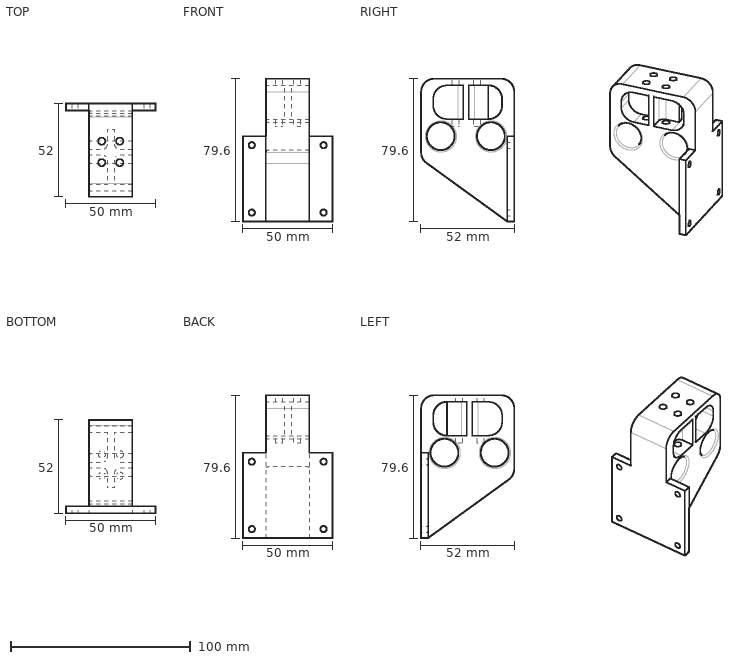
import cadquery as cq

overlap = 0.8

block_width = 24.2
block_depth = 52.0
block_height = 79.6
corner_radius = 7.5
slope_end_height = 34.8

plate_width = 50.0
plate_thickness = 4.0
plate_height = 47.5
mount_hole_diameter = 3.35
mount_hole_inset = 5.0

bore_diameter = 15.4
bore_edge_radius = 0.995
bore_spacing = 27.9
first_bore_y = -13.05
bore_y_positions = (first_bore_y, first_bore_y - bore_spacing)
bore_z = plate_height

window_back_y = -6.9
window_front_y = -45.1
window_bottom = 57.1
window_top = 75.8
rib_thickness = 3.0
rib_center_y = -27.0
web_thickness = 4.0
web_fillet = 3.0
web_back_y = window_back_y - corner_radius

screw_hole_diameter = 4.0
screw_spacing_x = 10.0
screw_spacing_y = 11.95
screw_floor_depth = 4.0


def make_block():
    half_width = block_width / 2
    profile = (
        cq.Workplane("YZ", origin=(-half_width, 0, 0))
        .moveTo(0, 0)
        .lineTo(-plate_thickness, 0)
        .lineTo(-block_depth, slope_end_height)
        .lineTo(-block_depth, block_height)
        .lineTo(0, block_height)
        .close()
    )
    block = profile.extrude(block_width)
    block = block.edges("|X and >Z").fillet(corner_radius)
    lower_front = cq.selectors.NearestToPointSelector((0, -block_depth, slope_end_height))
    return block.edges(lower_front).fillet(corner_radius)


def make_plate():
    plate = cq.Workplane("XY").box(
        plate_width, plate_thickness, plate_height, centered=(True, False, False)
    )
    holes = (
        cq.Workplane("XZ", origin=(0, 0, plate_height / 2))
        .rect(plate_width - 2 * mount_hole_inset, plate_height - 2 * mount_hole_inset, forConstruction=True)
        .vertices()
        .circle(mount_hole_diameter / 2)
        .extrude(plate_thickness + overlap, both=True)
    )
    return plate.translate((0, -plate_thickness, 0)).cut(holes)


def cut_bores(body):
    half_width = block_width / 2
    for y in bore_y_positions:
        bore = cq.Workplane("YZ").center(y, bore_z).circle(bore_diameter / 2)
        body = body.cut(bore.extrude(half_width, both=True))
        for side in (-1, 1):
            rim = cq.selectors.NearestToPointSelector((side * half_width, y, bore_z))
            body = body.edges(rim).fillet(bore_edge_radius)
    return body


def make_web():
    """Rib across the block and lengthwise wall, filleted where they cross."""
    height = window_top - window_bottom
    rib = cq.Workplane("XY").box(block_width, rib_thickness, height).translate((0, rib_center_y, 0))
    wall_length = web_back_y - window_front_y
    wall = cq.Workplane("XY").box(web_thickness, wall_length, height)
    wall = wall.translate((0, (web_back_y + window_front_y) / 2, 0))
    web = rib.union(wall)
    for x in (-web_thickness / 2, web_thickness / 2):
        for y_offset in (-rib_thickness / 2, rib_thickness / 2):
            corner = cq.selectors.NearestToPointSelector((x, rib_center_y + y_offset, 0))
            web = web.edges(corner).fillet(web_fillet)
    return web.translate((0, 0, (window_bottom + window_top) / 2))


def make_window():
    center_y = (window_back_y + window_front_y) / 2
    window = cq.Workplane("XY").box(
        block_width, window_back_y - window_front_y, window_top - window_bottom
    )
    window = window.edges("|X").fillet(corner_radius)
    window = window.translate((0, center_y, (window_bottom + window_top) / 2))
    return window.cut(make_web())


def make_screw_holes():
    bottom = window_bottom - screw_floor_depth
    return (
        cq.Workplane("XY", origin=(0, rib_center_y, bottom))
        .rect(screw_spacing_x, screw_spacing_y, forConstruction=True)
        .vertices()
        .circle(screw_hole_diameter / 2)
        .extrude(block_height + overlap - bottom)
    )


block = cut_bores(make_block())
block = block.cut(make_window()).cut(make_screw_holes())
result = block.union(make_plate())